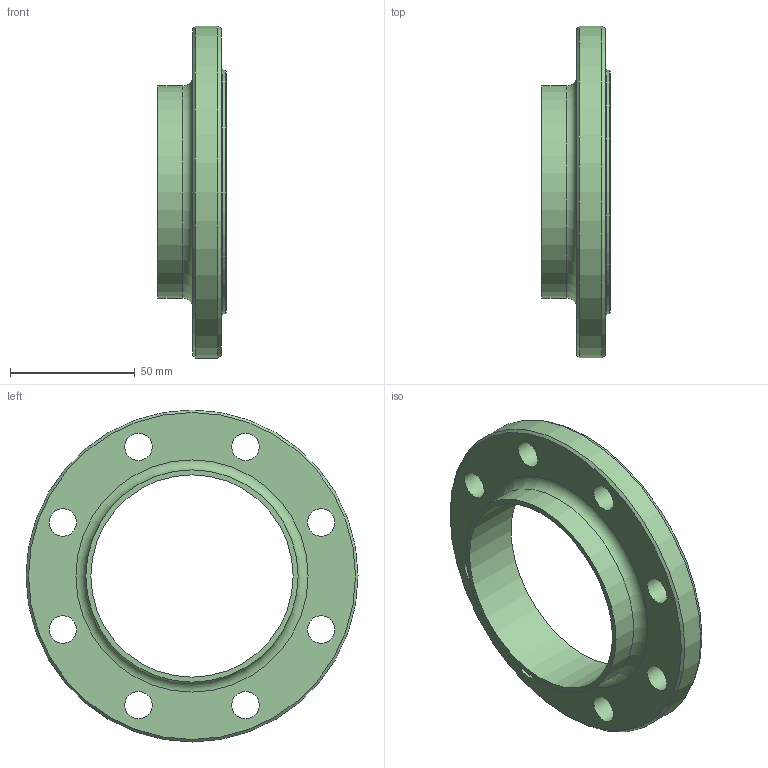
import cadquery as cq
import math

overall_length = 27.5
neck_length = 14.0
raised_face_height = 2.0
plate_thickness = overall_length - neck_length - raised_face_height

plate_diameter = 133.0
neck_diameter = 85.0
bore_diameter = 81.0
raised_face_diameter = 97.6
neck_wall = (neck_diameter - bore_diameter) / 2
recess_diameter = raised_face_diameter - 2 * neck_wall
recess_depth = 4.0

neck_fillet_radius = 4.0
plate_chamfer = 1.0
rim_bevel_length = 1.5
rim_bevel_angle = 30.0
raised_face_chamfer = 0.5
raised_face_root_radius = 0.6

bolt_count = 8
bolt_hole_diameter = 11.0
bolt_circle_diameter = 112.0
bolt_pitch_angle = 360.0 / bolt_count
first_bolt_angle = bolt_pitch_angle / 2


def disc(start_x, length, diameter):
    """Solid cylinder on the X axis, running from start_x in +X."""
    return cq.Workplane("YZ", origin=(start_x, 0, 0)).circle(diameter / 2).extrude(length)


def make_plate():
    """Flange plate, with a 45 degree chamfer on the neck side and a shallower one on the sealing side."""
    plate = disc(neck_length, plate_thickness, plate_diameter)
    plate = plate.faces("<X").edges().chamfer(plate_chamfer)
    bevel_depth = rim_bevel_length * math.tan(math.radians(rim_bevel_angle))
    return plate.faces(">X").edges().chamfer(rim_bevel_length, bevel_depth)


def make_raised_face():
    """Sealing face beyond the plate: filleted at its root, chamfered on its rim."""
    start_x = neck_length + plate_thickness
    rim_radius = raised_face_diameter / 2
    profile = (
        cq.Workplane("XY", origin=(start_x, 0, 0))
        .lineTo(0, rim_radius + raised_face_root_radius)
        .radiusArc((raised_face_root_radius, rim_radius), -raised_face_root_radius)
        .lineTo(raised_face_height - raised_face_chamfer, rim_radius)
        .lineTo(raised_face_height, rim_radius - raised_face_chamfer)
        .lineTo(raised_face_height, 0)
        .close()
    )
    return profile.revolve(360, (0, 0, 0), (1, 0, 0))


def make_neck():
    """Neck that flares into the plate through a concave arc."""
    neck_radius = neck_diameter / 2
    flare_start_x = neck_length - neck_fillet_radius
    flare_radius = neck_radius + neck_fillet_radius
    profile = (
        cq.Workplane("XY")
        .lineTo(0, neck_radius)
        .lineTo(flare_start_x, neck_radius)
        .radiusArc((neck_length, flare_radius), -neck_fillet_radius)
        .lineTo(neck_length, 0)
        .close()
    )
    return profile.revolve(360, (0, 0, 0), (1, 0, 0))


def make_bolt_holes():
    """Cutters for the holes through the plate."""
    return (
        cq.Workplane("YZ", origin=(neck_length, 0, 0))
        .polarArray(bolt_circle_diameter / 2, first_bolt_angle, 360, bolt_count)
        .circle(bolt_hole_diameter / 2)
        .extrude(plate_thickness)
    )


bore = disc(0, overall_length, bore_diameter)
recess = disc(overall_length - recess_depth, recess_depth, recess_diameter)
body = make_plate().union(make_raised_face()).union(make_neck())
result = body.cut(bore).cut(recess).cut(make_bolt_holes())